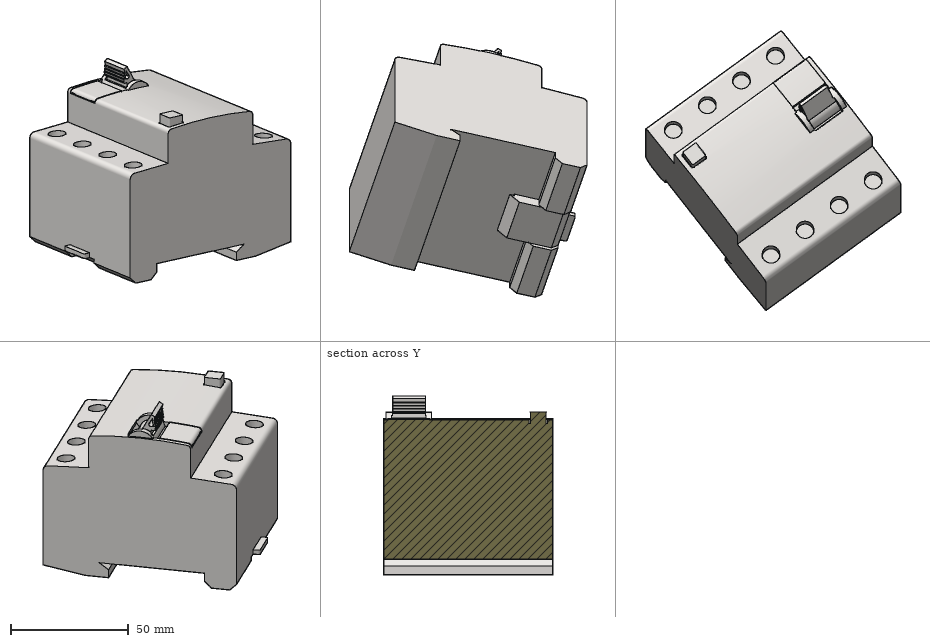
import cadquery as cq

width = 72.0
body_depth = 85.0
half_depth = body_depth / 2
crown_half = 22.4
crown_peak_z = 66.5
crown_edge_z = 65.15
crown_round = 1.9
shoulder_inner_z = 50.3
shoulder_outer_z = 49.15
shoulder_round = 2.5
select_margin = 0.1

rail_z = 6.6
foot_chamfer_z = 2.9
rear_foot_slope_y = 23.9
rear_foot_inner_y = 13.65
rear_hook_z = 3.75
rear_hook_tip_y = 17.75
front_foot_inner_y = -28.4
front_foot_inner_chamfer = 3.1
front_foot_outer_chamfer = 3.0

clip_width = 19.8
clip_bottom_z = 1.7
clip_back_y = -19.8
clip_tip_y = -15.6
clip_tip_z = 5.7
clip_neck_y = -17.6
tab_width = 14.0
tab_length = 3.0
tab_bottom_z = foot_chamfer_z + clip_bottom_z
tab_height = 2.1
tab_corner = 0.8

hole_diameter = 7.5
hole_pitch = 18.15
hole_count = 4
hole_row_y = 34.5
hole_floor_z = 45.2

toggle_x = -25.3
dome_width = 19.5
dome_radius = 6.4
dome_top_z = 69.35
dome_axis_z = dome_top_z - dome_radius
slot_width = 14.8
slot_back_y = 5.9
drum_radius = 4.25
lever_x = -25.15
lever_width = 14.0
lever_tip_y = -4.15
lever_tip_z = 76.24
lever_slope = 1.795
nose_y = -5.75
nose_z = 75.2
grip_top_z = 74.5
grip_y = -5.55
grip_bottom_y = -6.1
grip_bottom_z = 69.3
grip_lip_y = -5.6
grip_lip_z = 68.9
undercut_y = -4.1
undercut_z = 68.8
lever_root_z = 66.0
step_z = 66.7
ridge_count = 4
ridge_face_share = 0.75
ridge_depth = 0.35
lever_hole_diameter = 1.92
lever_hole_y = -4.05
lever_hole_z = 71.6
lever_pocket_depth = 2.0
lever_pocket = [(-4.55, 74.2), (-4.95, 70.7), (-2.95, 71.6)]

plate_width = 17.5
plate_back_y = -8.3
plate_rise = 0.25
gap_floor_z = 64.3
nick_width = 15.6
nick_z = 63.55
nick_height = 0.2
nick_depth = 0.3
nick_end_width = 2.0
nick_end_height = 0.5

button_x = 29.8
button_y = -16.25
button_size = 7.1
button_top_z = 69.4
button_corner = 0.5
button_gap = 0.3
button_gap_depth = 0.6


def box(x_size, y_min, y_max, z_min, z_max, x_center=0.0):
    """Axis-aligned block centred in X on x_center."""
    block = cq.Workplane("XY").box(x_size, y_max - y_min, z_max - z_min, centered=(True, False, False))
    return block.translate((x_center, y_min, z_min))


def extrude_profile(sketch, x_size, x_center=0.0):
    """Extrude a closed YZ outline symmetrically about x_center."""
    return sketch.extrude(x_size).translate((x_center - x_size / 2, 0, 0))


def prism(points, x_size, x_center=0.0):
    """Prism of a polygonal YZ outline."""
    return extrude_profile(cq.Workplane("YZ").polyline(points).close(), x_size, x_center)


def x_cylinder(radius, y, z, x_size, x_center=0.0):
    """Cylinder whose axis runs along X."""
    return extrude_profile(cq.Workplane("YZ").center(y, z).circle(radius), x_size, x_center)


def crown_block(rise, x_size, x_center=0.0):
    """Raised block with an arched top and rounded front and back edges."""
    sketch = (
        cq.Workplane("YZ")
        .moveTo(-crown_half, shoulder_inner_z)
        .lineTo(-crown_half, crown_edge_z + rise)
        .threePointArc((0, crown_peak_z + rise), (crown_half, crown_edge_z + rise))
        .lineTo(crown_half, shoulder_inner_z)
        .close()
    )
    block = extrude_profile(sketch, x_size, x_center)
    rounded_edges = cq.selectors.BoxSelector(
        (-width, -width, crown_edge_z + rise - select_margin),
        (width, width, crown_edge_z + rise + select_margin),
    )
    return block.edges("|X").edges(rounded_edges).fillet(crown_round)


def housing():
    """Body with sloped terminal shoulders, raised crown and rail recess."""
    outline = [
        (half_depth, foot_chamfer_z),
        (half_depth, shoulder_outer_z),
        (crown_half, shoulder_inner_z),
        (-crown_half, shoulder_inner_z),
        (-half_depth, shoulder_outer_z),
        (-half_depth, foot_chamfer_z),
        (-half_depth + front_foot_outer_chamfer, 0),
        (front_foot_inner_y - front_foot_inner_chamfer, 0),
        (front_foot_inner_y, foot_chamfer_z),
        (front_foot_inner_y, rail_z),
        (rear_hook_tip_y, rail_z),
        (rear_foot_inner_y, rear_hook_z),
        (rear_foot_inner_y, 0),
        (rear_foot_slope_y, 0),
    ]
    base = prism(outline, width)
    shoulder_edges = cq.selectors.BoxSelector(
        (-width, -width, shoulder_outer_z - select_margin), (width, width, shoulder_outer_z + select_margin)
    )
    base = base.edges("|X").edges(shoulder_edges).fillet(shoulder_round)
    return base.union(crown_block(0, width))


def add_terminal_holes(body):
    """Two rows of flat-bottomed screw holes, one row on each shoulder."""
    first_x = -hole_pitch * (hole_count - 1) / 2
    for index in range(hole_count):
        for y in (-hole_row_y, hole_row_y):
            drill = cq.Workplane("XY").circle(hole_diameter / 2).extrude(shoulder_inner_z - hole_floor_z)
            body = body.cut(drill.translate((first_x + index * hole_pitch, y, hole_floor_z)))
    return body


def add_rail_clip(body):
    """Replace the middle of the front foot by the higher clip with its pull tab."""
    body = body.cut(box(clip_width, -half_depth, front_foot_inner_y, 0, rail_z))
    clip = prism(
        [
            (-half_depth, rail_z),
            (-half_depth, tab_bottom_z),
            (-half_depth + front_foot_outer_chamfer, clip_bottom_z),
            (clip_back_y, clip_bottom_z),
            (clip_tip_y, clip_tip_z),
            (clip_neck_y, clip_tip_z),
            (clip_neck_y, rail_z),
        ],
        clip_width,
    )
    tab_top_z = tab_bottom_z + tab_height
    tab = box(tab_width, -half_depth - tab_length, -half_depth + tab_length, tab_bottom_z, tab_top_z)
    tab = tab.edges("|Z and <Y").fillet(tab_corner)
    return body.union(clip).union(tab)


def add_label_plate(body):
    """Slightly raised plate with a sunken gap behind it and a thin nick along its front."""
    plate = crown_block(plate_rise, plate_width, toggle_x)
    front_part = box(plate_width, -crown_half, plate_back_y, shoulder_inner_z, lever_tip_z, toggle_x)
    plate = plate.intersect(front_part)
    gap = box(plate_width, plate_back_y, 0, gap_floor_z, lever_tip_z, toggle_x)
    nick = box(nick_width, -crown_half, -crown_half + nick_depth, nick_z, nick_z + nick_height, toggle_x)
    body = body.union(plate).cut(gap).cut(nick)
    for side in (-1, 1):
        end_x = toggle_x + side * (nick_width - nick_end_width) / 2
        nick_end = box(
            nick_end_width, -crown_half, -crown_half + nick_depth, nick_z, nick_z + nick_end_height, end_x
        )
        body = body.cut(nick_end)
    return body


def lever_back_y(z):
    """Y of the sloped lever back at height z."""
    return lever_tip_y + (lever_tip_z - z) / lever_slope


def lever():
    """Leaning lever with a ridged, undercut grip, a cross hole and a shallow pocket at each end."""
    ridge_pitch = (grip_top_z - grip_bottom_z) / ridge_count
    grip_step = (grip_bottom_y - grip_y) / ridge_count
    points = [(lever_tip_y, lever_tip_z), (nose_y, nose_z), (grip_y, grip_top_z)]
    for index in range(1, ridge_count + 1):
        y = grip_y + index * grip_step
        z = grip_top_z - index * ridge_pitch
        points.append((y + ridge_depth, z + (1 - ridge_face_share) * ridge_pitch))
        points.append((y, z))
    points += [
        (grip_lip_y, grip_lip_z),
        (undercut_y, undercut_z),
        (undercut_y, lever_root_z),
        (lever_back_y(lever_root_z), lever_root_z),
    ]
    handle = prism(points, lever_width, lever_x)
    handle = handle.cut(x_cylinder(lever_hole_diameter / 2, lever_hole_y, lever_hole_z, lever_width, lever_x))
    for side in (-1, 1):
        pocket_x = lever_x + side * (lever_width - lever_pocket_depth) / 2
        handle = handle.cut(prism(lever_pocket, lever_pocket_depth, pocket_x))
    return handle


def add_toggle(body):
    """Dome with an opening behind the lever, an inner drum and a step below the lever grip."""
    dome = x_cylinder(dome_radius, 0, dome_axis_z, dome_width, toggle_x)
    slot = prism(
        [
            (lever_back_y(dome_top_z), dome_top_z),
            (slot_back_y, dome_top_z),
            (slot_back_y, crown_edge_z),
            (drum_radius, dome_axis_z),
            (lever_back_y(dome_axis_z), dome_axis_z),
        ],
        slot_width,
        toggle_x,
    )
    step = box(slot_width, -dome_radius, undercut_y, step_z, dome_top_z, toggle_x)
    drum = x_cylinder(drum_radius, 0, dome_axis_z, slot_width, toggle_x)
    return body.union(dome).cut(slot).cut(step).union(drum).union(lever())


def button_prism(size, z_min, z_max):
    """Square prism with rounded vertical edges, centred on the button."""
    block = box(size, button_y - size / 2, button_y + size / 2, z_min, z_max, button_x)
    return block.edges("|Z").fillet(button_corner)


def add_test_button(body):
    """Button standing in a narrow clearance groove."""
    groove_z = crown_edge_z - button_gap_depth
    clearance = button_prism(button_size + 2 * button_gap, groove_z, button_top_z)
    return body.cut(clearance).union(button_prism(button_size, groove_z, button_top_z))


result = housing()
result = add_terminal_holes(result)
result = add_rail_clip(result)
result = add_label_plate(result)
result = add_toggle(result)
result = add_test_button(result)